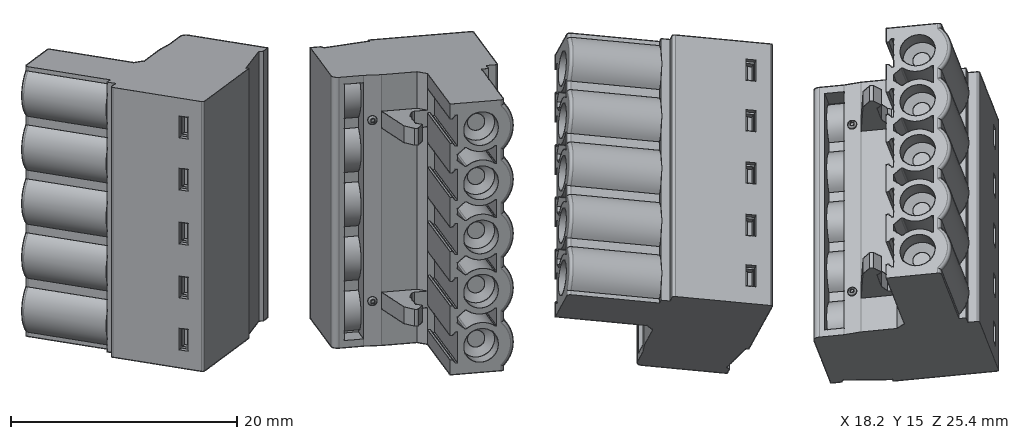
import cadquery as cq
import math


LENGTH = 18.2
WIDTH = 15.0
HEIGHT = 25.4

POLES = 5
PITCH = 5.08
POLE_HEIGHTS = [HEIGHT / 2 + PITCH * (i - (POLES - 1) / 2) for i in range(POLES)]

PLUG_X = 8.33
PLUG_TOP_Y = 6.6
PLUG_BOTTOM_Y = 1.68
NECK_Y = 1.05
HEAD_BOTTOM_X = 9.15
LATCH_WALL_X = 9.02
RAMP_TOP_Y = 7.4
SLANT_BOTTOM_Y = 10.62
SLANT_TOP_Y = 12.2
HEAD_TOP_X = 9.22
LIP_X = 17.5
LIP_BOTTOM_Y = 14.05
BACK_TOP = (17.17, 13.82)
BACK_BOTTOM = (17.93, 9.52)
HEAD_ROUND = 0.58
EDGE_ROUND = 0.23

SOCKET_Y = 3.78
SOCKET_R = 3.0
FRONT_ROUND = 0.3
BORE_R = 1.57
BORE_DEPTH = 1.42
PIN_HOLE_R = 0.8
CONE_LENGTH = 0.4

WEB_DEPTH = 3.8
WEB_R = 2.13
WEB_BOTTOM_Y = 2.35
WEB_BOTTOM_HALF = 0.85
WEB_SHOULDER_Y = 5.18
WEB_TOP_Y = 5.95
WEB_TOP_HALF = 0.28
WEB_SHOULDER_ROUND = 0.15

GROOVE_FLOOR_Y = 5.95
GROOVE_FLANK_LOW_Y = 6.12
GROOVE_FLANK_HIGH_Y = 6.38
GROOVE_FLOOR_HALF = 1.45
GROOVE_NECK_HALF = 1.15

LATCH_OFFSET = 8.48
LATCH_THICKNESS = 1.57
LATCH_TIP_TOP = (3.9, 8.86)
LATCH_TIP_MIDDLE = (3.85, 8.69)
LATCH_TIP_BOTTOM = (3.9, 8.53)
LATCH_UNDERSIDE = [(4.78, 7.95), (5.25, 8.45), (7.32, 8.45), (8.15, 8.08), (PLUG_X, 7.77)]
LATCH_BACK = (4.8, 9.63)

PEG_Y = 11.43
PEG_X = 8.9
PEG_R = 0.4
PEG_ROUND = 0.15
PEG_DIMPLE_R = 0.18
PEG_DIMPLE_DEPTH = 0.13

WINDOW_TOP_Y = 13.95
WINDOW_MARGIN = 0.69
WINDOW_FLOOR_X = 11.18
SCREW_X = 12.75
SCREW_R = 2.6
SCREW_MARGIN = 1.07

SLOT_X = 16.23
SLOT_LENGTH = 2.03
SLOT_WIDTH = 0.9
SLOT_DEPTH = 1.02
SLOT_END_STEP = 0.18
SLOT_SIDE_STEP = 0.1
SLOT_STEP_DEPTH = 0.5
SLOT_FLOOR_STEP_X = 16.15
SLOT_FLOOR_STEP = 0.13
END_SLOT_SHIFT = 0.18


def make_body():
    outline = [
        (0, SOCKET_Y), (PLUG_X, SOCKET_Y), (PLUG_X, NECK_Y), (HEAD_BOTTOM_X, NECK_Y),
        (HEAD_BOTTOM_X, 0), (LENGTH, 0), (LENGTH, BACK_BOTTOM[1]), BACK_BOTTOM, BACK_TOP,
        (LIP_X, LIP_BOTTOM_Y), (LIP_X, WIDTH), (HEAD_TOP_X, WIDTH), (HEAD_TOP_X, SLANT_TOP_Y),
        (LATCH_WALL_X, SLANT_BOTTOM_Y), (LATCH_WALL_X, RAMP_TOP_Y), (PLUG_X, PLUG_TOP_Y),
        (0, PLUG_TOP_Y),
    ]
    body = cq.Workplane("XY").polyline(outline).close().extrude(HEIGHT)
    body = rounded_corner(body, HEAD_TOP_X, WIDTH, HEAD_ROUND)
    body = rounded_corner(body, HEAD_BOTTOM_X, 0, EDGE_ROUND)
    body = rounded_corner(body, LENGTH, 0, EDGE_ROUND)
    return body


def rounded_corner(body, x, y, radius):
    corner = cq.selectors.NearestToPointSelector((x, y, HEIGHT / 2))
    return body.edges("|Z").edges(corner).fillet(radius)


def shroud_side():
    """Scalloped -Y side of the plug: a flat strip with a tube bulging out at each pole."""
    half = math.sqrt(SOCKET_R**2 - (SOCKET_Y - PLUG_BOTTOM_Y) ** 2)
    profile = cq.Workplane("YZ").moveTo(SOCKET_Y, 0).lineTo(PLUG_BOTTOM_Y, 0)
    for z in POLE_HEIGHTS:
        profile = (
            profile.lineTo(PLUG_BOTTOM_Y, z - half)
            .threePointArc((SOCKET_Y - SOCKET_R, z), (PLUG_BOTTOM_Y, z + half))
        )
    side = profile.lineTo(PLUG_BOTTOM_Y, HEIGHT).lineTo(SOCKET_Y, HEIGHT).close().extrude(PLUG_X)
    box = cq.selectors.BoxSelector(
        (-0.25, SOCKET_Y - SOCKET_R - 0.25, -0.25), (0.25, PLUG_BOTTOM_Y + 0.25, HEIGHT + 0.25)
    )
    return side.faces("<X").edges(box).fillet(FRONT_ROUND)


def socket_bore(z):
    cone_end = BORE_DEPTH + CONE_LENGTH
    half_section = [(0, 0), (0, BORE_R), (BORE_DEPTH, BORE_R), (cone_end, PIN_HOLE_R), (cone_end, 0)]
    bore = cq.Workplane("XY").polyline(half_section).close().revolve(360, (0, 0, 0), (1, 0, 0))
    return bore.translate((0, SOCKET_Y, z))


def web_recess(z):
    """Recess between two sockets, waisted by the round socket walls."""
    shoulder_half = PITCH / 2 - math.sqrt(WEB_R**2 - (WEB_SHOULDER_Y - SOCKET_Y) ** 2)
    half_plan = [
        (WEB_BOTTOM_Y, WEB_BOTTOM_HALF), (SOCKET_Y, WEB_BOTTOM_HALF), (SOCKET_Y, PITCH / 2),
        (WEB_SHOULDER_Y, PITCH / 2), (WEB_SHOULDER_Y, shoulder_half), (WEB_TOP_Y, WEB_TOP_HALF),
    ]
    plan = half_plan + [(y, -half) for y, half in reversed(half_plan)]
    recess = cq.Workplane("YZ").polyline(plan).close().extrude(WEB_DEPTH)
    walls = (
        cq.Workplane("YZ")
        .pushPoints([(SOCKET_Y, -PITCH / 2), (SOCKET_Y, PITCH / 2)])
        .circle(WEB_R)
        .extrude(WEB_DEPTH)
    )
    recess = recess.cut(walls)
    margin = WEB_SHOULDER_ROUND / 2
    shoulders = cq.selectors.BoxSelector(
        (0, WEB_SHOULDER_Y - margin, -PITCH / 2), (WEB_DEPTH, WEB_SHOULDER_Y + margin, PITCH / 2)
    )
    return recess.edges("|X").edges(shoulders).fillet(WEB_SHOULDER_ROUND).translate((0, 0, z))


def coding_groove(z):
    half_section = [
        (GROOVE_FLOOR_Y, GROOVE_FLOOR_HALF), (GROOVE_FLANK_LOW_Y, GROOVE_FLOOR_HALF),
        (GROOVE_FLANK_HIGH_Y, GROOVE_NECK_HALF), (PLUG_TOP_Y, GROOVE_NECK_HALF),
    ]
    section = half_section + [(y, -half) for y, half in reversed(half_section)]
    return cq.Workplane("YZ").polyline(section).close().extrude(PLUG_X).translate((0, 0, z))


def latch(z):
    root = [
        (PLUG_X, PLUG_TOP_Y), (HEAD_BOTTOM_X, PLUG_TOP_Y), (HEAD_BOTTOM_X, SLANT_BOTTOM_Y),
        (LATCH_WALL_X, SLANT_BOTTOM_Y),
    ]
    hook = (
        cq.Workplane("XY")
        .moveTo(*LATCH_TIP_TOP)
        .threePointArc(LATCH_TIP_MIDDLE, LATCH_TIP_BOTTOM)
        .polyline(LATCH_UNDERSIDE + root + [LATCH_BACK], includeCurrent=True)
        .close()
        .extrude(LATCH_THICKNESS)
    )
    return hook.translate((0, 0, z - LATCH_THICKNESS / 2))


def peg(z):
    base = cq.Workplane("YZ", origin=(PEG_X, PEG_Y, z))
    dimple = base.circle(PEG_DIMPLE_R).extrude(PEG_DIMPLE_DEPTH)
    pin = base.circle(PEG_R).extrude(HEAD_TOP_X - PEG_X)
    return pin.faces("<X").edges().fillet(PEG_ROUND).cut(dimple)


def screw_window():
    """Open window in the -X side of the head, with the round screw heads left standing in it."""
    size_x = WINDOW_FLOOR_X - LATCH_WALL_X
    size_y = WINDOW_TOP_Y - SLANT_TOP_Y
    window = cq.Workplane("XY").box(size_x, size_y, HEIGHT - 2 * WINDOW_MARGIN, centered=False)
    window = window.translate((LATCH_WALL_X, SLANT_TOP_Y, WINDOW_MARGIN))
    screws = (
        cq.Workplane("XZ", origin=(0, WINDOW_TOP_Y, 0))
        .pushPoints([(SCREW_X, z) for z in POLE_HEIGHTS])
        .circle(SCREW_R)
        .extrude(size_y)
    )
    kept = cq.Workplane("XY").box(LENGTH, WIDTH, HEIGHT - 2 * SCREW_MARGIN, centered=False)
    return window.cut(screws.intersect(kept.translate((0, 0, SCREW_MARGIN))))


def test_slot(z):
    """Slot with a narrower lower part whose floor is stepped."""
    base = cq.Workplane("XZ", origin=(SLOT_X, 0, z))
    inner_width = SLOT_WIDTH - 2 * SLOT_SIDE_STEP
    inner_length = SLOT_LENGTH - 2 * SLOT_END_STEP
    mouth = base.rect(SLOT_WIDTH, SLOT_LENGTH).extrude(-SLOT_STEP_DEPTH)
    inner = base.rect(inner_width, inner_length).extrude(-SLOT_DEPTH)
    right_width = SLOT_X + inner_width / 2 - SLOT_FLOOR_STEP_X
    deeper = (
        base.center((inner_width - right_width) / 2, 0)
        .rect(right_width, inner_length)
        .extrude(-SLOT_DEPTH - SLOT_FLOOR_STEP)
    )
    return mouth.union(inner).union(deeper)


result = make_body().union(shroud_side())

for pole_z in POLE_HEIGHTS:
    result = result.cut(socket_bore(pole_z)).cut(coding_groove(pole_z))

for lower_z in POLE_HEIGHTS[:-1]:
    result = result.cut(web_recess(lower_z + PITCH / 2))

result = result.cut(screw_window())

slot_heights = POLE_HEIGHTS.copy()
slot_heights[0] += END_SLOT_SHIFT
slot_heights[-1] -= END_SLOT_SHIFT
for slot_z in slot_heights:
    result = result.cut(test_slot(slot_z))

for side in (-1, 1):
    latch_z = HEIGHT / 2 + side * LATCH_OFFSET
    result = result.union(latch(latch_z)).union(peg(latch_z))